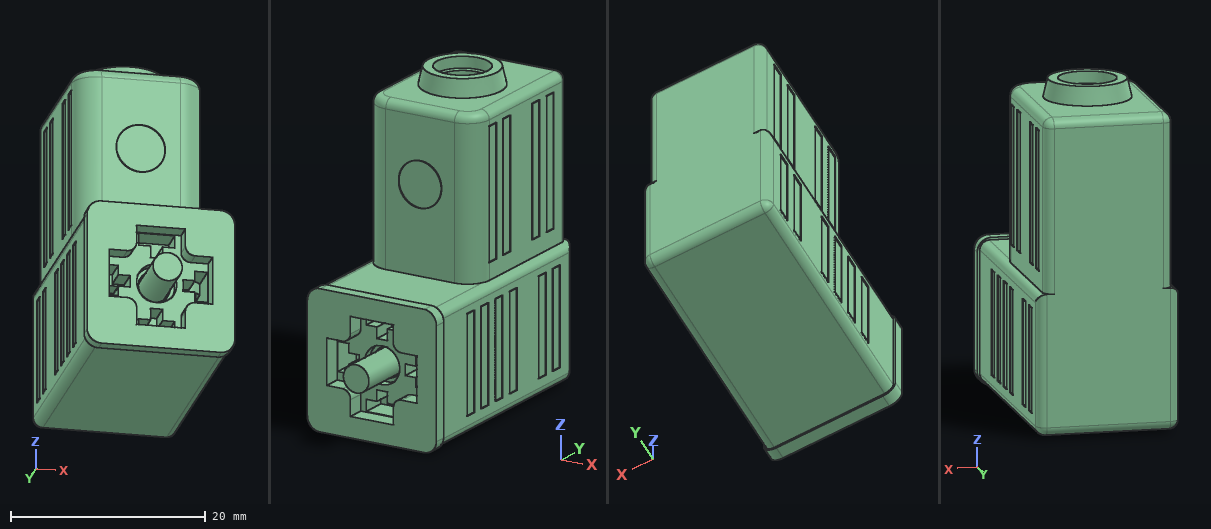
import cadquery as cq


flange_side = 15.6
flange_thickness = 1.43
flange_corner_radius = 1.5
axis_z = flange_side / 2
flange_overhang = 0.27
lower_side = flange_side - 2 * flange_overhang
back_y = 27.42
edge_radius = 1.0

block_width = 13.55
block_front_y = 9.45
block_top_z = 33.83
block_front_radius = 2.6

marking_radius = 2.58
marking_z = 25.3
shallow_depth = 0.1

total_height = 35.8
inlet_y = 17.85
inlet_base_radius = 4.6
inlet_top_radius = 4.1
bore_radius = 3.05
bore_depth = 1.3
shaft_radius = 2.72
seat_height = 0.15
shelf_drop = 0.2
core_radius = 2.75

groove_width = 1.43
groove_pitch = 2.8
rear_groove_y = 24.13
middle_groove_y = 15.6
rear_groove_count = 2
lower_front_groove_count = 4
upper_front_groove_count = 2
upper_groove_bottom, upper_groove_top = 17.25, 32.08
lower_groove_bottom, lower_groove_top = 2.3, 13.42

socket_depth = 2.05
arm_reach = 5.45
arm_half_width = 2.58
arm_corner_radius = 1.0

slot_inner = 2.8
slot_outer = 5.37
stem_width = 1.25
head_inner = 4.05
upright_head_width = 3.83
side_head_width = 3.3
slot_depth = 2.85
contact_round_radius = 1.5
notch_width = 0.85
notch_depth = 2.22
inner_notch_start, inner_notch_end = 3.35, 4.6
outer_notch_start = 4.8

screw_radius = 1.55
screw_protrusion = 30.5 - back_y
screw_hole_radius = 1.7
screw_counterbore_radius = 2.1
screw_counterbore_depth = 1.07
screw_hole_end_y = 7.15


def box_between(x_range, y_range, z_range):
    """Box that fills the given ranges along X, Y and Z."""
    sizes = [high - low for low, high in (x_range, y_range, z_range)]
    corner = (x_range[0], y_range[0], z_range[0])
    return cq.Workplane("XY").box(*sizes, centered=False).translate(corner)


def rod_along_y(radius, y_start, y_end):
    """Cylinder on the plug axis between two Y positions."""
    rod = cq.Workplane("XZ", origin=(0, y_start, axis_z)).circle(radius)
    return rod.extrude(y_start - y_end)


def make_flange():
    half = flange_side / 2
    flange = box_between((-half, half), (0, flange_thickness), (0, flange_side))
    return flange.edges("|Y").fillet(flange_corner_radius)


def make_lower_body():
    """Body rounded along its length; its upright rear rounds run into the top rounds as mitres."""
    half = lower_side / 2
    bottom_z = axis_z - half
    top_z = axis_z + half
    y_range = (flange_thickness, back_y)
    body = box_between((-half, half), y_range, (bottom_z, top_z))
    body = body.edges("|Y").fillet(edge_radius)
    rear_trim = box_between((-half, half), y_range, (bottom_z, block_top_z))
    rear_trim = rear_trim.edges("(|Y and <Z) or (>Y and (not >Z))").fillet(edge_radius)
    return body.intersect(rear_trim)


def make_upper_block():
    half = block_width / 2
    block = box_between((-half, half), (block_front_y, back_y), (axis_z, block_top_z))
    block = block.edges("|Z and <Y").fillet(block_front_radius)
    block = block.edges("|Z and >Y").fillet(edge_radius)
    return block.faces(">Z").edges().fillet(edge_radius)


def make_inlet_collar():
    collar = cq.Workplane("XY", origin=(0, inlet_y, block_top_z)).circle(inlet_base_radius)
    collar = collar.workplane(offset=total_height - block_top_z).circle(inlet_top_radius)
    return collar.loft(ruled=True)


def make_inlet_bore():
    """Stepped bore whose front half ends on a shelf; its rear half goes down to a round core."""
    seat_z = total_height - bore_depth
    shaft_top_z = seat_z - seat_height
    shelf_z = block_top_z - shelf_drop
    profile = [
        (0, total_height),
        (bore_radius, total_height),
        (bore_radius, seat_z),
        (shaft_radius, shaft_top_z),
        (shaft_radius, axis_z),
        (0, axis_z),
    ]
    bore = cq.Workplane("XZ").polyline(profile).close().revolve(360, (0, 0), (0, 1))
    bore = bore.translate((0, inlet_y, 0))
    below_shelf = box_between(
        (-bore_radius, bore_radius), (inlet_y - bore_radius, inlet_y), (axis_z, shelf_z)
    )
    core = rod_along_y(core_radius, inlet_y - bore_radius, inlet_y + bore_radius)
    return bore.cut(below_shelf).cut(core)


def make_marking_recess():
    recess = cq.Workplane("XZ", origin=(0, block_front_y, marking_z))
    return recess.circle(marking_radius).extrude(-shallow_depth)


def groove_positions(front_count):
    """Centre positions along Y of the rear grooves and the grooves in front of them."""
    rear = [rear_groove_y - i * groove_pitch for i in range(rear_groove_count)]
    front = [middle_groove_y - i * groove_pitch for i in range(front_count)]
    return rear + front


def cut_grooves(body, flank_x, front_count, z_range):
    """Cut one row of shallow upright grooves into both flanks."""
    floor_x = flank_x - shallow_depth
    for y in groove_positions(front_count):
        y_range = (y - groove_width / 2, y + groove_width / 2)
        for x_range in ((floor_x, flank_x), (-flank_x, -floor_x)):
            body = body.cut(box_between(x_range, y_range, z_range))
    return body


def make_socket():
    """Cross-shaped pocket with its four inward corners rounded."""
    y_range = (0, socket_depth)
    along_x = box_between(
        (-arm_reach, arm_reach), y_range, (axis_z - arm_half_width, axis_z + arm_half_width)
    )
    along_z = box_between(
        (-arm_half_width, arm_half_width), y_range, (axis_z - arm_reach, axis_z + arm_reach)
    )
    cross = along_x.union(along_z)
    reach = arm_half_width + arm_corner_radius / 2
    z_range = (axis_z - reach, axis_z + reach)
    inward_corners = cq.selectors.BoxSelector(
        (-reach, -socket_depth, z_range[0]), (reach, 2 * socket_depth, z_range[1])
    )
    return cross.edges("|Y").edges(inward_corners).fillet(arm_corner_radius)


def slot_box(start, end, width, y_range):
    """Part of a slot that runs outward along +X from the plug axis."""
    return box_between((start, end), y_range, (axis_z - width / 2, axis_z + width / 2))


def make_t_slot(head_width):
    """T-shaped slot pointing along +X, its head on the outer end."""
    y_range = (socket_depth, socket_depth + slot_depth)
    head = slot_box(head_inner, slot_outer, head_width, y_range)
    stem = slot_box(slot_inner, head_inner, stem_width, y_range)
    return head.union(stem)


def make_side_slot():
    """T-shaped slot with a rounded head floor and two notches sunk into the slot floor."""
    floor_y = socket_depth + slot_depth
    round_centre_y = floor_y + contact_round_radius
    head_end = slot_box(head_inner, slot_outer, side_head_width, (floor_y, round_centre_y))
    rounding = (
        cq.Workplane("XY", origin=(head_inner, round_centre_y, 0))
        .circle(contact_round_radius)
        .extrude(flange_side)
    )
    slot = make_t_slot(side_head_width).union(head_end.cut(rounding))
    notch_range = (floor_y, floor_y + notch_depth)
    inner_notch = slot_box(inner_notch_start, inner_notch_end, notch_width, notch_range)
    outer_notch = slot_box(outer_notch_start, slot_outer, notch_width, notch_range)
    return slot.union(inner_notch).union(outer_notch)


def cut_contact_slots(body):
    """Cut four slots around the plug axis, the side pair and the upright pair alternating."""
    axis_start = (0, 0, axis_z)
    axis_end = (0, 1, axis_z)
    for i in range(4):
        slot = make_side_slot() if i % 2 == 0 else make_t_slot(upright_head_width)
        body = body.cut(slot.rotate(axis_start, axis_end, i * 90))
    return body


def make_screw_hole():
    counterbore_end_y = socket_depth + screw_counterbore_depth
    counterbore = rod_along_y(screw_counterbore_radius, socket_depth, counterbore_end_y)
    return counterbore.union(rod_along_y(screw_hole_radius, socket_depth, screw_hole_end_y))


def make_housing():
    lower_flank_x = lower_side / 2
    block_flank_x = block_width / 2
    lower_grooves = (lower_groove_bottom, lower_groove_top)
    upper_grooves = (upper_groove_bottom, upper_groove_top)
    housing = make_flange().union(make_lower_body())
    housing = housing.union(make_upper_block()).union(make_inlet_collar())
    housing = housing.cut(make_inlet_bore()).cut(make_marking_recess())
    housing = cut_grooves(housing, lower_flank_x, lower_front_groove_count, lower_grooves)
    housing = cut_grooves(housing, block_flank_x, upper_front_groove_count, upper_grooves)
    housing = housing.cut(make_socket())
    housing = cut_contact_slots(housing)
    return housing.cut(make_screw_hole())


def make_screw():
    """Plain round screw seated on the bottom of its clearance hole."""
    return rod_along_y(screw_radius, -screw_protrusion, screw_hole_end_y)


housing = make_housing()
screw = make_screw()

result = cq.Compound.makeCompound([housing.val(), screw.val()])